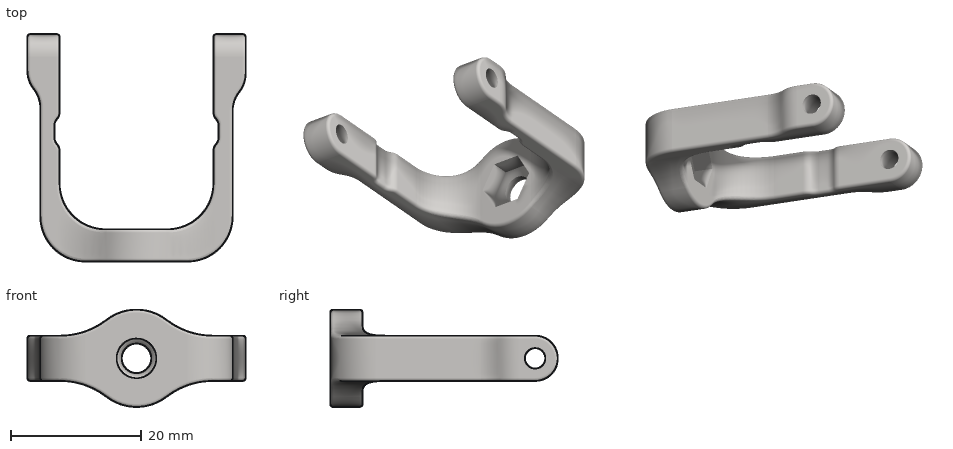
import cadquery as cq
import math

total_width = 33.6
total_length = 35.0
base_thickness = 5.0
corner_radius = 7.0
edge_radius = 0.5

arm_height = 7.0
arm_thickness = 3.0
tip_thickness = 5.0
pivot_hole_diameter = 3.1

step_length = 5.75
left_step_start = 23.65
right_step_start = 23.2

notch_position = 20.0
notch_depth = 0.8
notch_floor_length = 1.8
notch_opening = 6.0

boss_diameter = 15.0
blend_end_x = 11.7
bore_diameter = 4.5
countersink_diameter = 6.1
countersink_depth = 0.8

nut_across_flats = 7.7
nut_pocket_depth = 3.0
nut_turn = 30

tip_outer_x = total_width / 2
inner_x = tip_outer_x - tip_thickness
arm_outer_x = inner_x + arm_thickness
arm_half_height = arm_height / 2
pivot_y = total_length - arm_half_height
inner_corner_end_y = base_thickness + corner_radius


def make_fork_half(step_start):
    """Half of the fork on the +X side, as tall as the boss."""
    outer_corner_x = arm_outer_x - corner_radius
    inner_corner_x = inner_x - corner_radius
    corner_chord = corner_radius * math.sqrt(0.5)
    step_middle = ((arm_outer_x + tip_outer_x) / 2, step_start + step_length / 2)
    step_end = (tip_outer_x, step_start + step_length)

    notch_floor_x = inner_x + notch_depth
    notch_middle_x = inner_x + notch_depth / 2
    half_floor = notch_floor_length / 2
    half_opening = notch_opening / 2
    half_middle = (half_floor + half_opening) / 2

    return (
        cq.Workplane("XY")
        .lineTo(outer_corner_x, 0)
        .threePointArc(
            (outer_corner_x + corner_chord, corner_radius - corner_chord),
            (arm_outer_x, corner_radius),
        )
        .lineTo(arm_outer_x, step_start)
        .tangentArcPoint(step_middle, relative=False)
        .tangentArcPoint(step_end, relative=False)
        .lineTo(tip_outer_x, total_length)
        .lineTo(inner_x, total_length)
        .lineTo(inner_x, notch_position + half_opening)
        .tangentArcPoint((notch_middle_x, notch_position + half_middle), relative=False)
        .tangentArcPoint((notch_floor_x, notch_position + half_floor), relative=False)
        .lineTo(notch_floor_x, notch_position - half_floor)
        .tangentArcPoint((notch_middle_x, notch_position - half_middle), relative=False)
        .tangentArcPoint((inner_x, notch_position - half_opening), relative=False)
        .lineTo(inner_x, inner_corner_end_y)
        .threePointArc(
            (inner_corner_x + corner_chord, inner_corner_end_y - corner_chord),
            (inner_corner_x, base_thickness),
        )
        .lineTo(0, base_thickness)
        .close()
        .extrude(boss_diameter / 2, both=True)
    )


def make_fork():
    """Whole fork outline, each arm with its own step position."""
    right_half = make_fork_half(right_step_start)
    left_half = make_fork_half(left_step_start).mirror("YZ")
    return right_half.union(left_half).clean()


def make_height_envelope():
    """Height outline in the XZ plane: a flat bar swelling smoothly into the round boss."""
    boss_radius = boss_diameter / 2
    boss_rise = boss_radius - arm_half_height
    boss_blend_radius = (blend_end_x**2 + arm_half_height**2 - boss_radius**2) / (2 * boss_rise)
    blend_center_z = arm_half_height + boss_blend_radius
    center_distance = boss_radius + boss_blend_radius
    blend_start_x = blend_end_x * boss_radius / center_distance
    blend_start_z = blend_center_z * boss_radius / center_distance
    return (
        cq.Workplane("XZ")
        .moveTo(-tip_outer_x, arm_half_height)
        .lineTo(-blend_end_x, arm_half_height)
        .tangentArcPoint((-blend_start_x, blend_start_z), relative=False)
        .threePointArc((0, boss_radius), (blend_start_x, blend_start_z))
        .tangentArcPoint((blend_end_x, arm_half_height), relative=False)
        .lineTo(tip_outer_x, arm_half_height)
        .lineTo(tip_outer_x, -arm_half_height)
        .lineTo(blend_end_x, -arm_half_height)
        .tangentArcPoint((blend_start_x, -blend_start_z), relative=False)
        .threePointArc((0, -boss_radius), (-blend_start_x, -blend_start_z))
        .tangentArcPoint((-blend_end_x, -arm_half_height), relative=False)
        .lineTo(-tip_outer_x, -arm_half_height)
        .close()
        .extrude(-total_length)
    )


def make_tip_envelope():
    """Side outline in the YZ plane that rounds the arm tips about the pivot axis."""
    shank = cq.Workplane("XY").box(total_width, pivot_y, boss_diameter, centered=(True, False, True))
    tip = cq.Workplane("YZ").center(pivot_y, 0).circle(arm_half_height).extrude(tip_outer_x, both=True)
    return shank.union(tip)


def round_edges(body):
    """Round the whole rim where the side walls meet the upper and lower surfaces."""
    seams = body.edges("|Y").filter(lambda edge: edge.Center().y < inner_corner_end_y)
    rim = body.edges("not (|X or |Z)").filter(
        lambda edge: not any(edge.isSame(seam) for seam in seams.vals())
    )
    return body.newObject(rim.vals()).fillet(edge_radius)


def cut_holes(body):
    """Countersunk bore and nut pocket in the boss, and one pivot hole through both arms."""
    bore = cq.Workplane("XZ").circle(bore_diameter / 2).extrude(-base_thickness)
    countersink = (
        cq.Workplane("XZ")
        .circle(countersink_diameter / 2)
        .workplane(offset=-countersink_depth)
        .circle(bore_diameter / 2)
        .loft()
    )
    pivot = (
        cq.Workplane("YZ")
        .center(pivot_y, 0)
        .circle(pivot_hole_diameter / 2)
        .extrude(tip_outer_x, both=True)
    )
    nut_pocket = (
        cq.Workplane("XZ", origin=(0, base_thickness, 0))
        .polygon(6, nut_across_flats, circumscribed=True)
        .extrude(nut_pocket_depth)
        .rotate((0, 0, 0), (0, 1, 0), nut_turn)
    )
    return body.cut(bore).cut(countersink).cut(nut_pocket).cut(pivot)


body = make_fork().intersect(make_height_envelope()).intersect(make_tip_envelope())
result = cut_holes(round_edges(body))